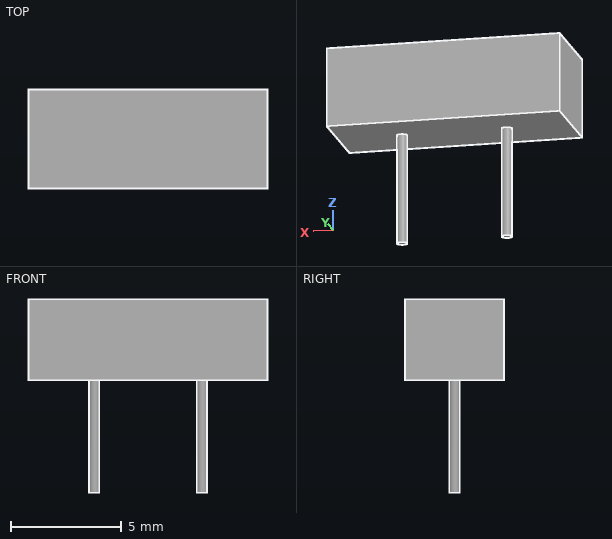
import cadquery as cq

housing_length = 10.85
housing_width = 4.5
housing_height = 3.68

lead_diameter = 0.48
lead_length = 5.1
lead_spacing = 4.88


def make_housing():
    """Plain rectangular block centred on the Z axis."""
    return cq.Workplane("XY").box(
        housing_length, housing_width, housing_height, centered=(True, True, False)
    )


def make_lead(x):
    """Straight round wire hanging from the underside of the housing."""
    return cq.Workplane("XY").center(x, 0).circle(lead_diameter / 2).extrude(-lead_length)


housing = make_housing()
leads = [make_lead(side * lead_spacing / 2) for side in (-1, 1)]

result = cq.Compound.makeCompound([housing.val(), *[lead.val() for lead in leads]])